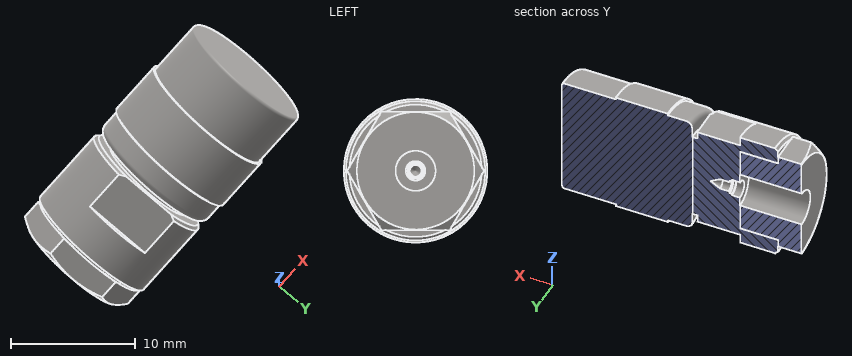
import cadquery as cq
import math

body_start = 2.08
flat_start = 5.45
body_end = 9.24
coupling_start = 9.68
grip_start = 11.85
grip_end = 16.43
coupling_end = 21.23

shell_diameter = 11.15
neck_diameter = 8.17

across_flats = 9.5
corner_radius = across_flats / math.sqrt(3)
nut_face_diameter = 9.4
nut_chamfer_angle = 30.0
nut_chamfer_length = (corner_radius - nut_face_diameter / 2) * math.tan(math.radians(nut_chamfer_angle))

spigot_diameter = neck_diameter
spigot_end = flat_start
cable_bore_diameter = 3.2

edge_chamfer = 0.28

grip_diameter = 11.5
sleeve_front_fillet = 0.55
sleeve_rear_fillet = 0.28

dielectric_bore_diameter = 1.57
dielectric_bore_floor = 6.15
contact_seat_diameter = 1.3
contact_seat_floor = 6.37
contact_bore_mouth_diameter = 1.1
contact_bore_diameter = 0.93
contact_bore_floor = 7.22
drill_point_angle = 60.0


def cylinder(diameter, start, end):
    """Cylinder on the X axis between two stations."""
    return cq.Workplane("YZ", origin=(start, 0, 0)).circle(diameter / 2).extrude(end - start)


def revolve_about_axis(points):
    """Solid of revolution about X from a closed (x, radius) outline."""
    return cq.Workplane("XY").polyline(points).close().revolve(360, (0, 0, 0), (1, 0, 0))


def make_clamp_nut():
    """Hexagonal nut, flats facing +Z and -Z, with coned corners at the cable end and a spigot."""
    hexagon = cq.Workplane("YZ").polygon(6, 2 * corner_radius).extrude(body_start)
    turned_blank = revolve_about_axis([
        (0, 0),
        (0, nut_face_diameter / 2),
        (nut_chamfer_length, corner_radius),
        (body_start, corner_radius),
        (body_start, 0),
    ])
    return (
        hexagon.intersect(turned_blank)
        .union(cylinder(spigot_diameter, body_start, spigot_end))
        .cut(cylinder(cable_bore_diameter, 0, spigot_end))
    )


def make_contact_bore():
    """Blind hole with a 45 degree countersunk mouth and a drill point at its end."""
    mouth_radius = contact_bore_mouth_diameter / 2
    bore_radius = contact_bore_diameter / 2
    countersink_end = contact_seat_floor + mouth_radius - bore_radius
    point_length = bore_radius / math.tan(math.radians(drill_point_angle / 2))
    return revolve_about_axis([
        (contact_seat_floor, 0),
        (contact_seat_floor, mouth_radius),
        (countersink_end, bore_radius),
        (contact_bore_floor, bore_radius),
        (contact_bore_floor + point_length, 0),
    ])


def make_clamp_body():
    """Round body with two wrench flats, a neck, a spigot socket and a stepped blind bore."""
    shell = cylinder(shell_diameter, body_start, body_end).edges().chamfer(edge_chamfer)

    flat_length = body_end - flat_start
    flat_depth = (shell_diameter - across_flats) / 2
    for side in (1, -1):
        flat_cutter = cq.Workplane("XY").box(flat_length, shell_diameter, flat_depth).translate(
            (flat_start + flat_length / 2, 0, side * (across_flats + flat_depth) / 2)
        )
        shell = shell.cut(flat_cutter)

    return (
        shell.union(cylinder(neck_diameter, body_end, coupling_start))
        .cut(cylinder(spigot_diameter, body_start, spigot_end))
        .cut(cylinder(dielectric_bore_diameter, spigot_end, dielectric_bore_floor))
        .cut(cylinder(contact_seat_diameter, dielectric_bore_floor, contact_seat_floor))
        .cut(make_contact_bore())
    )


def make_coupling_sleeve():
    """Round sleeve with a raised grip band, with both ends rounded."""
    sleeve = (
        cylinder(shell_diameter, coupling_start, coupling_end)
        .faces("<X").edges().fillet(sleeve_front_fillet)
        .faces(">X").edges().fillet(sleeve_rear_fillet)
    )
    return sleeve.union(cylinder(grip_diameter, grip_start, grip_end))


clamp_nut = make_clamp_nut()
clamp_body = make_clamp_body()
coupling_sleeve = make_coupling_sleeve()

result = cq.Compound.makeCompound([clamp_nut.val(), clamp_body.val(), coupling_sleeve.val()])